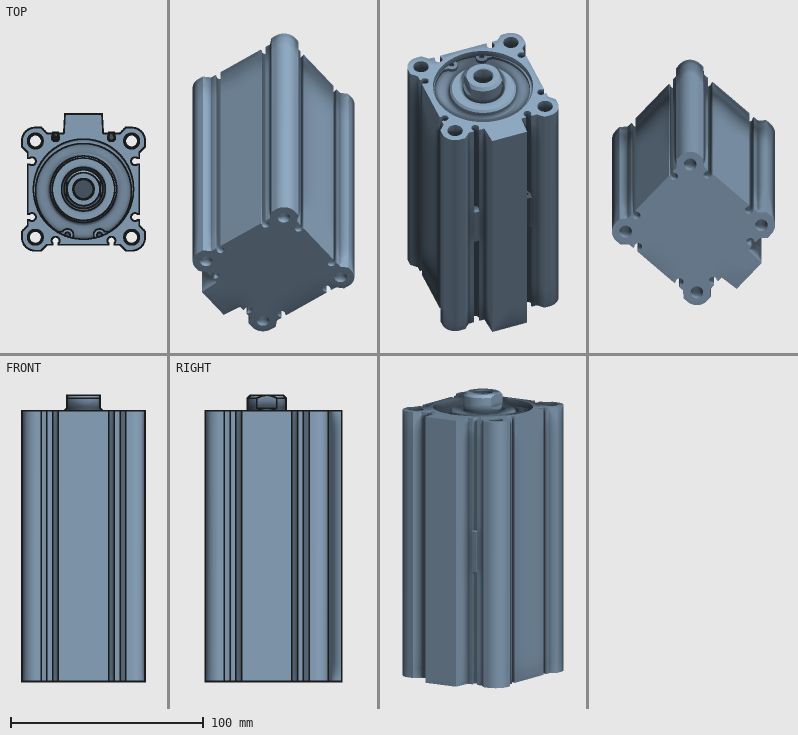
import cadquery as cq


total_height = 148.5
total_width = 64.0
total_depth = 71.0
rod_projection = 8.0
housing_height = total_height - rod_projection

face_offset = 29.0
bolt_offset = 25.0
lobe_straight = 3.0
lobe_reach = total_width / 2
lobe_radius = lobe_reach - bolt_offset
lobe_step = lobe_reach - face_offset
bolt_diameter = 6.5
thread_diameter = 8.0
thread_depth = 14.0
thread_cone_height = 0.5

port_reach = total_depth - lobe_reach
port_tip_half_width = 9.7
port_base_half_width = 10.2

groove_pitch = 29.0
groove_offset = groove_pitch / 2
groove_diameter = 4.0
groove_throat = 3.0
groove_centre_depth = 2.2

bore_radius = 26.0
ring_top_depth = 3.4
ring_thickness = 2.0
ring_radius = 27.0
ring_inner_diameter = 49.7
ring_inner_shift = 1.2
lug_x = 8.3
lug_y = -23.8
lug_radius = 3.1
lug_hole_diameter = 2.7
lug_web_x = 14.0
lug_web_y = -22.0
ring_top = housing_height - ring_top_depth
collar_face = ring_top - ring_thickness
collar_thickness = 14.8
collar_bottom = collar_face - collar_thickness
boss_radius = 17.2
boss_chamfer = 1.0
boss_fillet = 1.8
boss_top_depth = 1.0
boss_top = housing_height - boss_top_depth
boss_height = boss_top - collar_face
collar_mouth_chamfer = 1.3

rod_diameter = 20.0
rod_chamfer = 1.5
flat_width = 17.2
flat_length = 6.7
flat_depth = (rod_diameter - flat_width) / 2
rod_hole_diameter = 10.1
rod_hole_depth = 14.8
rod_hole_chamfer = 0.5

sensor_length = 22.3
sensor_bottom = (housing_height - sensor_length) / 2
sensor_stand_out = 0.5
sensor_end_chamfer = 0.5
lead_diameter = 1.2
lead_length = 1.5


def cylinder(radius, bottom, height):
    return cq.Workplane("XY", origin=(0, 0, bottom)).circle(radius).extrude(height)


def slot_prism(outer_face, height):
    """Round prism with a straight neck, as it lies in the groove on the +Y side at X = 0."""
    centre_y = face_offset - groove_centre_depth
    neck_length = outer_face - centre_y
    round_part = cq.Workplane("XY").center(0, centre_y).circle(groove_diameter / 2).extrude(height)
    neck = (
        cq.Workplane("XY")
        .center(0, centre_y + neck_length / 2)
        .rect(groove_throat, neck_length)
        .extrude(height)
    )
    return round_part.union(neck)


def make_quarter():
    """Quarter of the housing in the +X +Y quadrant, from the axis out to the rounded lobe."""
    straight_end = bolt_offset - lobe_straight
    chamfer_end = straight_end - lobe_step
    arc_point = bolt_offset + lobe_radius * 0.5 ** 0.5
    return (
        cq.Workplane("XY")
        .lineTo(face_offset, 0)
        .lineTo(face_offset, chamfer_end)
        .lineTo(lobe_reach, straight_end)
        .lineTo(lobe_reach, bolt_offset)
        .threePointArc((arc_point, arc_point), (bolt_offset, lobe_reach))
        .lineTo(straight_end, lobe_reach)
        .lineTo(chamfer_end, face_offset)
        .lineTo(0, face_offset)
        .close()
        .extrude(housing_height)
    )


def make_bolt_hole():
    """Through hole with a wider threaded length that ends in a short cone."""
    bolt_radius = bolt_diameter / 2
    thread_radius = thread_diameter / 2
    thread_bottom = housing_height - thread_depth
    return (
        cq.Workplane("XZ")
        .lineTo(bolt_radius, 0)
        .lineTo(bolt_radius, thread_bottom - thread_cone_height)
        .lineTo(thread_radius, thread_bottom)
        .lineTo(thread_radius, housing_height)
        .lineTo(0, housing_height)
        .close()
        .revolve(360, (0, 0, 0), (0, 1, 0))
    )


def make_housing():
    quarter_body = make_quarter()
    body = quarter_body
    for quarter in range(1, 4):
        body = body.union(quarter_body.rotate((0, 0, 0), (0, 0, 1), 90 * quarter))

    port_block = (
        cq.Workplane("XY")
        .polyline([
            (-port_base_half_width, face_offset),
            (-port_tip_half_width, port_reach),
            (port_tip_half_width, port_reach),
            (port_base_half_width, face_offset),
        ])
        .close()
        .extrude(housing_height)
    )
    body = body.union(port_block)

    for x in (-bolt_offset, bolt_offset):
        for y in (-bolt_offset, bolt_offset):
            body = body.cut(make_bolt_hole().translate((x, y, 0)))

    groove = slot_prism(lobe_reach, housing_height)
    for quarter in range(4):
        for x in (-groove_offset, groove_offset):
            body = body.cut(groove.translate((x, 0, 0)).rotate((0, 0, 0), (0, 0, 1), 90 * quarter))

    bore = cylinder(bore_radius, collar_bottom, housing_height - collar_bottom)
    ring_groove = cylinder(ring_radius, collar_face, ring_thickness)
    return body.cut(bore).cut(ring_groove)


def make_retaining_ring():
    """Eccentric snap ring, open toward -Y, with a lug and a plier hole at each end."""
    disc = cylinder(ring_radius, collar_face, ring_thickness)
    plane = cq.Workplane("XY", origin=(0, 0, collar_face))
    opening = plane.center(0, -ring_inner_shift).circle(ring_inner_diameter / 2).extrude(ring_thickness)
    gap = plane.center(0, -ring_radius).rect(2 * lug_x, ring_radius).extrude(ring_thickness)
    ring = disc.cut(opening).cut(gap)

    web_width = lug_web_x - lug_x
    web_height = ring_radius + lug_web_y
    for side in (-1, 1):
        lug = plane.center(side * lug_x, lug_y).circle(lug_radius).extrude(ring_thickness)
        web = (
            plane.center(side * (lug_x + web_width / 2), lug_web_y - web_height / 2)
            .rect(web_width, web_height)
            .extrude(ring_thickness)
        )
        hole = plane.center(side * lug_x, lug_y).circle(lug_hole_diameter / 2).extrude(ring_thickness)
        ring = ring.union(lug.union(web).intersect(disc)).cut(hole)
    return ring


def make_collar():
    """Rod guide: a disc in the bore with a filleted boss around the rod."""
    disc = cylinder(bore_radius, collar_bottom, collar_thickness)
    boss = cylinder(boss_radius, collar_face, boss_height).faces(">Z").edges().chamfer(boss_chamfer)
    collar = disc.union(boss)
    boss_wall = cq.selectors.RadiusNthSelector(1)
    collar = collar.edges(boss_wall).edges("<Z").fillet(boss_fillet)

    rod_hole = cylinder(rod_diameter / 2, collar_bottom, boss_top - collar_bottom)
    collar = collar.cut(rod_hole)
    hole_rim = cq.selectors.RadiusNthSelector(0)
    return collar.faces(">Z").edges(hole_rim).chamfer(collar_mouth_chamfer)


def make_flat_cutter():
    """Cut for the +X wrench flat; its lower end runs out at 45 degrees."""
    flat_x = flat_width / 2
    flat_bottom = total_height - flat_length
    return (
        cq.Workplane("XZ")
        .moveTo(flat_x, total_height)
        .lineTo(flat_x, flat_bottom)
        .lineTo(flat_x + flat_depth, flat_bottom - flat_depth)
        .lineTo(flat_x + flat_depth, total_height)
        .close()
        .extrude(rod_diameter / 2, both=True)
    )


def make_rod():
    rod = cylinder(rod_diameter / 2, collar_bottom, total_height - collar_bottom)
    rod = rod.faces(">Z").edges().chamfer(rod_chamfer)
    flat_cutter = make_flat_cutter()
    rod = rod.cut(flat_cutter).cut(flat_cutter.mirror("YZ"))
    hole = cylinder(rod_hole_diameter / 2, total_height - rod_hole_depth, rod_hole_depth)
    rod = rod.cut(hole)
    hole_rim = cq.selectors.RadiusNthSelector(0)
    return rod.faces(">Z").edges(hole_rim).chamfer(rod_hole_chamfer)


def make_sensor():
    """Groove sensor at X = 0 with its lead at the top end."""
    body = slot_prism(face_offset + sensor_stand_out, sensor_length)
    body = body.faces("<Z or >Z").edges().chamfer(sensor_end_chamfer)
    lead = (
        cq.Workplane("XY", origin=(0, face_offset - groove_centre_depth, sensor_length))
        .circle(lead_diameter / 2)
        .extrude(lead_length)
    )
    return body.union(lead).translate((0, 0, sensor_bottom))


housing = make_housing()
retaining_ring = make_retaining_ring()
collar = make_collar()
rod = make_rod()

sensors = []
for side in (-1, 1):
    sensor = make_sensor()
    if side > 0:
        sensor = sensor.rotate((0, 0, housing_height / 2), (0, 1, housing_height / 2), 180)
    sensors.append(sensor.translate((side * groove_offset, 0, 0)))

result = cq.Compound.makeCompound([
    housing.solids().val(),
    retaining_ring.solids().val(),
    collar.solids().val(),
    rod.solids().val(),
    *[sensor.solids().val() for sensor in sensors],
])